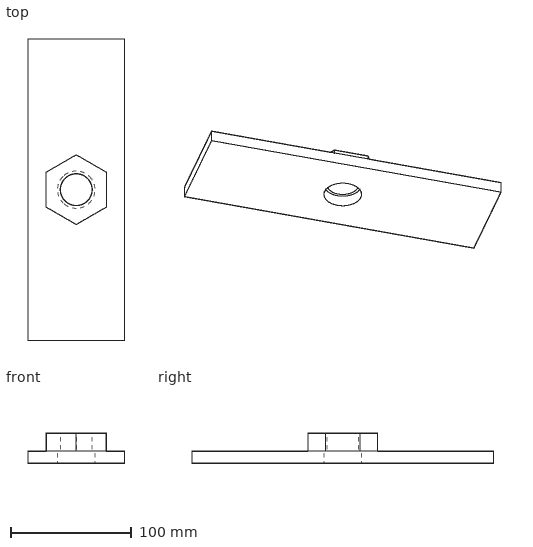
import cadquery as cq
import math

plate_width = 80.0
plate_length = 250.0
plate_thickness = 10.0

nut_sides = 6
nut_across_flats = 50.0
nut_height = 15.0
nut_across_corners = nut_across_flats / math.cos(math.pi / nut_sides)

clearance_diameter = 31.0
nut_bore_diameter = 26.21


def make_plate():
    """Flat rectangular plate with its clearance hole, underside at Z = 0."""
    return (
        cq.Workplane("XY")
        .rect(plate_width, plate_length)
        .circle(clearance_diameter / 2)
        .extrude(plate_thickness)
    )


def make_nut():
    """Bored hexagonal prism on the plate, turned so that two corners lie over the Y axis."""
    base = cq.Workplane("XY", origin=(0, 0, plate_thickness))
    turned_base = base.transformed(rotate=(0, 0, 90))
    outline = turned_base.polygon(nut_sides, nut_across_corners)
    return outline.circle(nut_bore_diameter / 2).extrude(nut_height)


result = make_plate().union(make_nut())